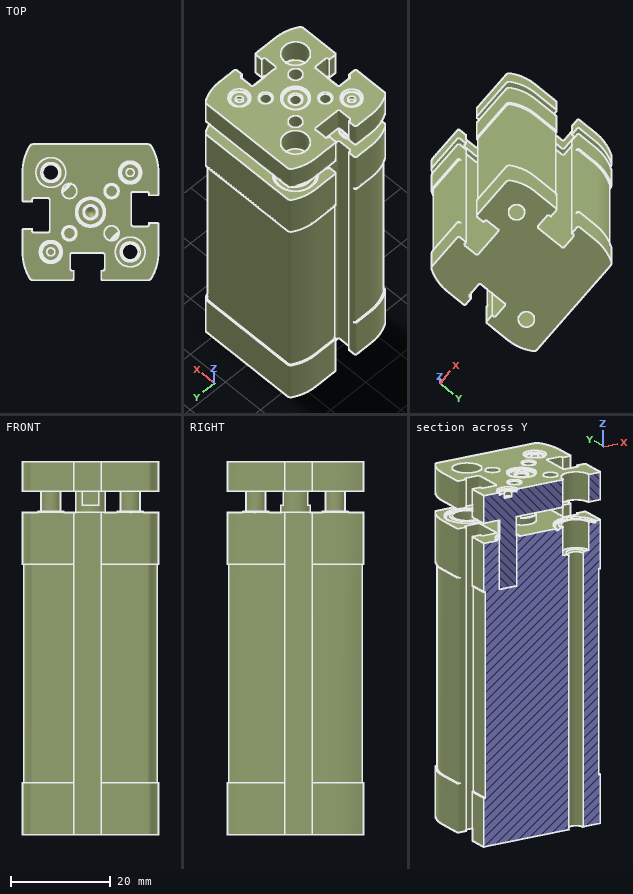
import cadquery as cq
import math

TOTAL_HEIGHT = 75.2
HOUSING_HEIGHT = 65.0
CAP_HEIGHT = 10.5
PLATE_THICKNESS = 6.0
PLATE_BOTTOM = TOTAL_HEIGHT - PLATE_THICKNESS

WIDTH = 27.5
HALF_WIDTH = WIDTH / 2
SIDE_FLAT_HALF = 8.0
CORNER_ARC_RADIUS = 10.4
CORNER_BLEND_RADIUS = 0.9
TUBE_INSET = 0.25

SLOT_OFFSET = 0.62
SLOT_MOUTH_WIDTH = 5.5
SLOT_INNER_WIDTH = 6.9
SLOT_FLOOR = 8.25
SLOT_LIP_INNER = 11.75
SLOT_MOUTH_BLEND = 0.3
SLOT_INNER_BLEND = 0.3

ROD_END_DEPTH = 0.4
ROD_END_CHAMFER = 0.2
ROD_TOP = TOTAL_HEIGHT - ROD_END_DEPTH
ROD_BOTTOM = HOUSING_HEIGHT - CAP_HEIGHT

ROD_DIAMETER = 6.0
ROD_FLAT_WIDTH = 5.0
ROD_FLAT_HEIGHT = 2.75
ROD_SEAT_DIAMETER = 5.6
ROD_THREAD_DIAMETER = 2.46
ROD_THREAD_RIM = 3.0
ROD_THREAD_DEPTH = 8.0
DRILL_TIP_ANGLE = 118.0

GUIDE_POSITION = 8.0
GUIDE_POINTS = [(-GUIDE_POSITION, -GUIDE_POSITION), (GUIDE_POSITION, GUIDE_POSITION)]
GUIDE_DIAMETER = 4.0
GUIDE_SEAT_RIM = 4.6
GUIDE_CENTRE_HOLE_DIAMETER = 1.6
GUIDE_CENTRE_HOLE_DEPTH = 1.0

COLLAR_DIAMETER = 5.3
COLLAR_HEIGHT = 0.25
COLLAR_CHAMFER = 0.15

MOUNT_POINTS = [(-GUIDE_POSITION, GUIDE_POSITION), (GUIDE_POSITION, -GUIDE_POSITION)]
ACCESS_DIAMETER = 6.0
MOUNT_HOLE_DIAMETER = 3.24
MOUNT_HOLE_RIM = 4.0
MOUNT_BORE_DIAMETER = ACCESS_DIAMETER
MOUNT_BORE_DEPTH = 6.0
GROOVE_OUTER_DIAMETER = 9.2
GROOVE_FLOOR_DIAMETER = 8.5
GROOVE_INNER_DIAMETER = 7.0
GROOVE_DEPTH = 0.4

SMALL_HOLE_POSITION = 4.25
PLAIN_POINTS = [(-SMALL_HOLE_POSITION, SMALL_HOLE_POSITION), (SMALL_HOLE_POSITION, -SMALL_HOLE_POSITION)]
TAPPED_POINTS = [(-SMALL_HOLE_POSITION, -SMALL_HOLE_POSITION), (SMALL_HOLE_POSITION, SMALL_HOLE_POSITION)]
PLAIN_DIAMETER = 3.0
TAPPED_DIAMETER = 2.46
TAPPED_RIM = 3.0


def cylinder(diameter, bottom, top, point=(0, 0)):
    """Upright cylinder between two heights."""
    return cq.Workplane("XY", origin=(*point, bottom)).circle(diameter / 2).extrude(top - bottom)


def rimmed_hole(diameter, rim_diameter, top, depth, point):
    """Cutter for a hole whose mouth has a 45 degree chamfer."""
    chamfer = (rim_diameter - diameter) / 2
    half_section = (
        cq.Workplane("XZ")
        .moveTo(0, -depth)
        .lineTo(diameter / 2, -depth)
        .lineTo(diameter / 2, -chamfer)
        .lineTo(rim_diameter / 2, 0)
        .lineTo(0, 0)
        .close()
    )
    return half_section.revolve(360, (0, 0), (0, 1)).translate((*point, top))


def outer_block(inset, bottom, top):
    """Square block whose four corners are rounded by arcs tangent to the X sides."""
    half = HALF_WIDTH - inset
    flat = SIDE_FLAT_HALF - inset
    arc_centre_x = half - CORNER_ARC_RADIUS
    end_rise = half - flat
    end_x = arc_centre_x + math.sqrt(CORNER_ARC_RADIUS**2 - end_rise**2)
    mid_angle = math.asin(end_rise / CORNER_ARC_RADIUS) / 2
    mid_x = arc_centre_x + CORNER_ARC_RADIUS * math.cos(mid_angle)
    mid_y = flat + CORNER_ARC_RADIUS * math.sin(mid_angle)
    block = (
        cq.Workplane("XY", origin=(0, 0, bottom))
        .moveTo(half, -flat)
        .lineTo(half, flat)
        .threePointArc((mid_x, mid_y), (end_x, half))
        .lineTo(-end_x, half)
        .threePointArc((-mid_x, mid_y), (-half, flat))
        .lineTo(-half, -flat)
        .threePointArc((-mid_x, -mid_y), (-end_x, -half))
        .lineTo(end_x, -half)
        .threePointArc((mid_x, -mid_y), (half, -flat))
        .close()
        .extrude(top - bottom)
    )
    return block.edges("|Z and (>Y or <Y)").fillet(CORNER_BLEND_RADIUS)


def slot_cutter(inset, bottom, top):
    """T-slot opening towards -Y, its mouth widened by rounded lips."""
    face = -(HALF_WIDTH - inset)
    height = top - bottom
    mouth_half = SLOT_MOUTH_WIDTH / 2
    blend = SLOT_MOUTH_BLEND
    mouth = (
        cq.Workplane("XY", origin=(0, 0, bottom))
        .moveTo(-mouth_half, -SLOT_FLOOR)
        .lineTo(-mouth_half, face + blend)
        .radiusArc((-mouth_half - blend, face), blend)
        .lineTo(mouth_half + blend, face)
        .radiusArc((mouth_half, face + blend), blend)
        .lineTo(mouth_half, -SLOT_FLOOR)
        .close()
        .extrude(height)
    )
    inner_depth = SLOT_LIP_INNER - SLOT_FLOOR
    inner = (
        cq.Workplane("XY", origin=(0, -SLOT_FLOOR - inner_depth / 2, bottom))
        .rect(SLOT_INNER_WIDTH, inner_depth)
        .extrude(height)
        .edges("|Z")
        .fillet(SLOT_INNER_BLEND)
    )
    return mouth.union(inner)


def slotted_block(inset, bottom, top):
    """Rounded block with its three T-slots."""
    block = outer_block(inset, bottom, top)
    slot = slot_cutter(inset, bottom, top)
    front = slot.translate((-SLOT_OFFSET, 0, 0))
    left = front.mirror("YZ").rotate((0, 0, 0), (0, 0, 1), -90)
    right = left.rotate((0, 0, 0), (0, 0, 1), 180)
    return block.cut(front).cut(left).cut(right)


def mount_groove(point):
    """Cutter for the ring groove around a mounting hole, with a conical inner flank."""
    half_section = (
        cq.Workplane("XZ")
        .moveTo(GROOVE_OUTER_DIAMETER / 2, 0)
        .lineTo(GROOVE_OUTER_DIAMETER / 2, -GROOVE_DEPTH)
        .lineTo(GROOVE_FLOOR_DIAMETER / 2, -GROOVE_DEPTH)
        .lineTo(GROOVE_INNER_DIAMETER / 2, 0)
        .close()
    )
    return half_section.revolve(360, (0, 0), (0, 1)).translate((*point, HOUSING_HEIGHT))


def make_housing():
    """Tube between two slightly wider end caps, bored for the rods."""
    upper_cap_bottom = HOUSING_HEIGHT - CAP_HEIGHT
    housing = slotted_block(0, 0, CAP_HEIGHT)
    housing = housing.union(slotted_block(TUBE_INSET, CAP_HEIGHT, upper_cap_bottom))
    housing = housing.union(slotted_block(0, upper_cap_bottom, HOUSING_HEIGHT))

    collar_top = HOUSING_HEIGHT + COLLAR_HEIGHT
    housing = housing.cut(cylinder(ROD_DIAMETER, ROD_BOTTOM, HOUSING_HEIGHT))
    for point in GUIDE_POINTS:
        collar = cylinder(COLLAR_DIAMETER, HOUSING_HEIGHT, collar_top, point)
        collar = collar.faces(">Z").chamfer(COLLAR_CHAMFER)
        housing = housing.union(collar).cut(cylinder(GUIDE_DIAMETER, ROD_BOTTOM, collar_top, point))

    bore_floor = HOUSING_HEIGHT - MOUNT_BORE_DEPTH
    for point in MOUNT_POINTS:
        bore = cylinder(MOUNT_BORE_DIAMETER, bore_floor, HOUSING_HEIGHT, point)
        hole = rimmed_hole(MOUNT_HOLE_DIAMETER, MOUNT_HOLE_RIM, bore_floor, bore_floor, point)
        housing = housing.cut(mount_groove(point)).cut(bore).cut(hole)
    return housing


def make_piston_rod():
    """Piston rod with two wrench flats just under the plate."""
    rod = cylinder(ROD_DIAMETER, ROD_BOTTOM, PLATE_BOTTOM)
    flat_zone = cq.Workplane("XY", origin=(0, 0, PLATE_BOTTOM - ROD_FLAT_HEIGHT))
    outside = flat_zone.rect(2 * ROD_DIAMETER, 2 * ROD_DIAMETER).extrude(ROD_FLAT_HEIGHT)
    between_flats = flat_zone.rect(2 * ROD_DIAMETER, ROD_FLAT_WIDTH).extrude(ROD_FLAT_HEIGHT)
    return rod.cut(outside.cut(between_flats))


def rod_end_recess(seat_diameter, rim_diameter, point):
    """Cutter that sinks a chamfered rod end below the plate face in a chamfered seat."""
    seat_depth = ROD_END_DEPTH + ROD_END_CHAMFER
    seat_radius = seat_diameter / 2
    tip = cq.Solid.makeCone(seat_radius, seat_radius - ROD_END_CHAMFER, ROD_END_CHAMFER)
    tip = tip.translate(cq.Vector(*point, TOTAL_HEIGHT - seat_depth))
    return rimmed_hole(seat_diameter, rim_diameter, TOTAL_HEIGHT, seat_depth, point).cut(cq.Workplane(tip))


def piston_rod_thread():
    """Cutter for the thread hole in the piston rod, ending in a drill point."""
    thread = rimmed_hole(ROD_THREAD_DIAMETER, ROD_THREAD_RIM, ROD_TOP, ROD_THREAD_DEPTH, (0, 0))
    tip_radius = ROD_THREAD_DIAMETER / 2
    tip_depth = tip_radius / math.tan(math.radians(DRILL_TIP_ANGLE / 2))
    tip = cq.Solid.makeCone(0, tip_radius, tip_depth)
    tip = tip.translate(cq.Vector(0, 0, ROD_TOP - ROD_THREAD_DEPTH - tip_depth))
    return thread.union(cq.Workplane(tip))


def make_moving_unit():
    """Yoke plate joined to the piston rod and the two guide rods."""
    unit = slotted_block(0, PLATE_BOTTOM, TOTAL_HEIGHT)
    for point in MOUNT_POINTS:
        unit = unit.cut(cylinder(ACCESS_DIAMETER, PLATE_BOTTOM, TOTAL_HEIGHT, point))
    for point in PLAIN_POINTS:
        unit = unit.cut(cylinder(PLAIN_DIAMETER, PLATE_BOTTOM, TOTAL_HEIGHT, point))
    for point in TAPPED_POINTS:
        unit = unit.cut(rimmed_hole(TAPPED_DIAMETER, TAPPED_RIM, TOTAL_HEIGHT, PLATE_THICKNESS, point))

    for point in GUIDE_POINTS:
        guide_rod = cylinder(GUIDE_DIAMETER, ROD_BOTTOM, PLATE_BOTTOM, point)
        centre_hole = cylinder(GUIDE_CENTRE_HOLE_DIAMETER, ROD_TOP - GUIDE_CENTRE_HOLE_DEPTH, ROD_TOP, point)
        seat = rod_end_recess(GUIDE_DIAMETER, GUIDE_SEAT_RIM, point)
        unit = unit.union(guide_rod).cut(seat).cut(centre_hole)

    seat = rod_end_recess(ROD_SEAT_DIAMETER, ROD_DIAMETER, (0, 0))
    return unit.union(make_piston_rod()).cut(seat).cut(piston_rod_thread())


housing = make_housing()
moving_unit = make_moving_unit()

result = cq.Compound.makeCompound([housing.val(), moving_unit.val()])